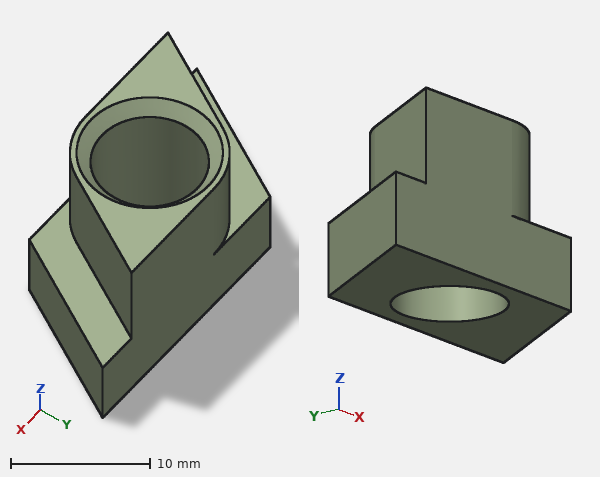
import cadquery as cq
import math

length = 26.85
width = 11.5
height = 12.7
base_height = 5.5
side_angle = math.radians(60)
hole_diameter = 8.5
countersink_diameter = 10.53
countersink_depth = 1.0

half_width = width / 2
slant = width / math.tan(side_angle)
base = (
    cq.Workplane("XY")
    .polyline([
        (-length / 2, -half_width),
        (length / 2 - slant, -half_width),
        (length / 2, half_width),
        (slant - length / 2, half_width),
    ])
    .close()
    .extrude(base_height)
)

corner_x = half_width / math.tan(side_angle / 2)
tangent_x = half_width * math.sin(side_angle)
tangent_y = half_width * math.cos(side_angle)
arc_mid_x = half_width * math.sin(side_angle / 2)
arc_mid_y = half_width * math.cos(side_angle / 2)
upper = (
    cq.Workplane("XY")
    .moveTo(-corner_x, -half_width)
    .lineTo(0, -half_width)
    .threePointArc((arc_mid_x, -arc_mid_y), (tangent_x, -tangent_y))
    .lineTo(corner_x, half_width)
    .lineTo(0, half_width)
    .threePointArc((-arc_mid_x, arc_mid_y), (-tangent_x, tangent_y))
    .close()
    .extrude(height)
)

hole = cq.Workplane("XY").circle(hole_diameter / 2).extrude(height)
countersink = cq.Workplane("XY").add(
    cq.Solid.makeCone(
        hole_diameter / 2,
        countersink_diameter / 2,
        countersink_depth,
        pnt=cq.Vector(0, 0, height - countersink_depth),
    )
)

result = base.union(upper).cut(hole).cut(countersink)